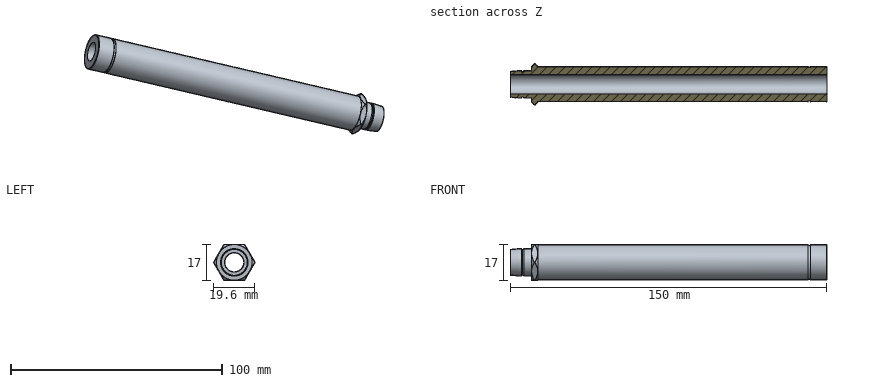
import cadquery as cq
import math

total_length = 150.0
bore_diameter = 9.0

neck_length = 10.0
neck_diameter = 13.0
tip_diameter = 12.3
nose_length = 3.8
neck_groove_start = 5.3
neck_groove_floor_width = 0.4
neck_groove_width = 1.2
neck_groove_depth = 0.5

hex_across_flats = 17.0
hex_across_corners = hex_across_flats / math.cos(math.radians(30))
hex_thickness = 3.0
hex_face_diameter = 16.9

body_diameter = 16.7
cap_length = 8.0
cap_groove_width = 1.0
cap_groove_depth = 0.25
cap_chamfer = 0.25


def cylinder(start, length, diameter):
    """Solid cylinder along +X beginning at x = start."""
    return cq.Workplane("YZ", origin=(start, 0, 0)).circle(diameter / 2).extrude(length)


def ring_groove(start, width, outer_diameter, depth):
    """Ring of material to remove from a cylinder's surface."""
    blank = cylinder(start, width, outer_diameter + 2 * depth)
    return blank.cut(cylinder(start, width, outer_diameter - 2 * depth))


def make_neck():
    neck_radius = neck_diameter / 2
    floor_radius = neck_radius - neck_groove_depth
    half_section = (
        cq.Workplane("XY")
        .lineTo(0, tip_diameter / 2)
        .lineTo(nose_length, neck_radius)
        .lineTo(neck_groove_start, neck_radius)
        .lineTo(neck_groove_start, floor_radius)
        .lineTo(neck_groove_start + neck_groove_floor_width, floor_radius)
        .lineTo(neck_groove_start + neck_groove_width, neck_radius)
        .lineTo(neck_length, neck_radius)
        .lineTo(neck_length, 0)
        .close()
    )
    return half_section.revolve(360, (0, 0, 0), (1, 0, 0))


def make_hex_collar():
    prism = (
        cq.Workplane("YZ", origin=(neck_length, 0, 0))
        .polygon(6, hex_across_corners)
        .extrude(hex_thickness)
    )
    corner_chamfer = (hex_across_corners - hex_face_diameter) / 2
    envelope = cylinder(neck_length, hex_thickness, hex_across_corners)
    return prism.intersect(envelope.faces("<X or >X").chamfer(corner_chamfer))


def make_body():
    body = cylinder(neck_length, total_length - neck_length, body_diameter)
    body = body.faces(">X").chamfer(cap_chamfer)
    groove_position = total_length - cap_length - cap_groove_width
    return body.cut(ring_groove(groove_position, cap_groove_width, body_diameter, cap_groove_depth))


bore = cylinder(0, total_length, bore_diameter)
result = make_neck().union(make_hex_collar()).union(make_body()).cut(bore)